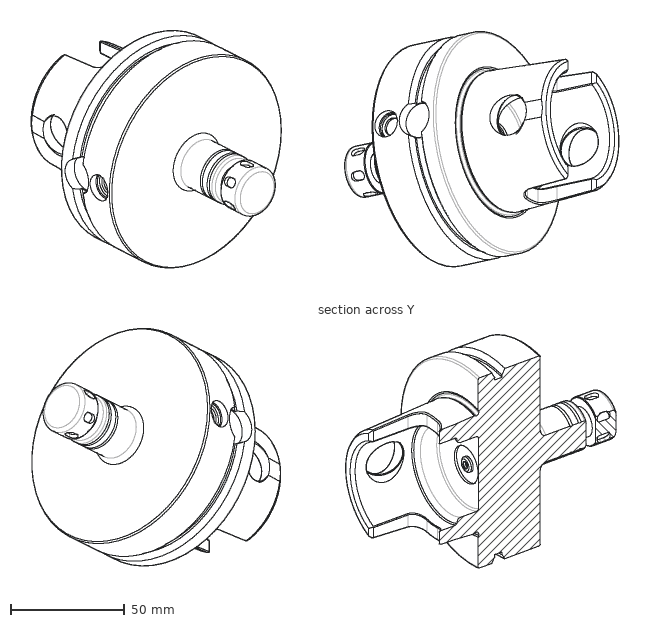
import cadquery as cq
import math


tolerance = 0.01
clearance = 1.2

taper_end_x = 42.7
taper_big_radius = 31.86
taper_slope = 0.05
end_chamfer_length = 1.9
end_chamfer_depth = end_chamfer_length * math.tan(math.radians(30))
relief_radius = 31.5
relief_run = 0.8

bore_radius = 24.1
bore_end_x = 32.6
lip_tip_x = 33.4
lip_round = 1.9
lip_start_radius = 23.6
lip_tip_radius = 23.2
floor_x = 45.0
floor_fillet = 0.8
centre_recess_radius = 9.0
centre_recess_depth = 1.2

nipple_base_radius = 7.3 / 2
nipple_tip_radius = 5.8 / 2
nipple_height = 1.8
nipple_tip_x = floor_x + centre_recess_depth - nipple_height
nipple_mouth_radius = 3.5 / 2
nipple_bore_radius = 3.0 / 2
nipple_bore_depth = 1.2
nipple_drill_radius = 1.7 / 2
nipple_drill_depth = 3.0

slot_end_x = 26.5
slot_half_width = 10.1
slot_corner_radius = 6.0
slot_outer_chamfer = 0.6
slot_inner_chamfer = 0.4
ball_hole_diameter = 18.5
ball_hole_x = 19.1
ball_seat_diameter = 19.7
ball_seat_tilt = 16.0
ball_seat_x = 19.2
ball_seat_y = 27.6
ball_seat_length = 10.8
flat_width = 8.3

flange_start_x = 44.9
flange_end_x = 78.8
flange_radius = 100.0 / 2
front_rim_round = 0.8
rear_rim_chamfer_length = 1.0
rear_rim_chamfer_depth = 0.6
face_recess_radius = 34.0
face_recess_run = 0.7
face_recess_depth = 0.3
root_fillet = 1.1
grip_groove_x = 55.9
grip_groove_mouth = 7.0
grip_groove_width = 3.7
grip_groove_radius = 46.1
grip_flank_depth = (grip_groove_mouth - grip_groove_width) / 2 / math.tan(math.radians(30))

pocket_diameter = 16.0
pocket_floor_y = 44.6
screw_hole_x = 70.9
screw_hole_diameter = 11.2
screw_mouth_diameter = 12.0
screw_hole_floor_y = 44.9
screw_seat_y = 46.5
screw_core_diameter = 8.0
screw_core_depth = 1.2

barrel_radius = 23.0 / 2
barrel_end_x = 103.8
barrel_end_round = 1.1
barrel_root_length = 2.8
barrel_root_rise = 2.0
barrel_root_radius = 2.8
ring_groove_width = 1.5
ring_groove_depth = 0.18
ring_groove_starts = [94.8, 99.5]

neck_radius = 14.0 / 2
nut_start_x = 108.5
nut_end_x = 120.0
nut_round = 1.7
nut_rear_chamfer = 0.4
key_slot_count = 6
key_slot_x = 113.2
key_slot_length = 6.7
key_slot_width = 4.2
key_slot_depth = 1.8


def taper_radius(x):
    return taper_big_radius - taper_slope * (taper_end_x - x)


def revolve_about_x(profile):
    """Turn a closed (X, radius) outline once around the X axis."""
    return profile.close().revolve(360, (0, 0, 0), (1, 0, 0))


def side_cylinder(x, diameter, start_y, end_y):
    """Cylinder along Y between two Y positions."""
    return (
        cq.Workplane("XZ", origin=(x, start_y, 0))
        .circle(diameter / 2)
        .extrude(start_y - end_y)
    )


def both_sides(tool):
    """A tool on the -Y side together with its half-turn copy on the +Y side."""
    return tool.union(tool.rotate((0, 0, 0), (1, 0, 0), 180))


def shank_cone():
    return revolve_about_x(
        cq.Workplane("XY")
        .moveTo(0, 0)
        .lineTo(0, taper_radius(0))
        .lineTo(taper_end_x, taper_big_radius)
        .lineTo(taper_end_x + relief_run, relief_radius)
        .lineTo(flange_start_x + face_recess_depth, relief_radius)
        .lineTo(flange_start_x + face_recess_depth, 0)
    )


def shank_bore():
    """Mouth chamfer, main bore, rounded lip, inner bore and floor recess."""
    inner_radius = lip_tip_radius - lip_round
    lip_start_x = lip_tip_x + lip_round - math.sqrt(lip_round**2 - (lip_start_radius - lip_tip_radius) ** 2)
    recess_x = floor_x + centre_recess_depth
    return revolve_about_x(
        cq.Workplane("XY")
        .moveTo(0, 0)
        .lineTo(0, bore_radius + end_chamfer_depth)
        .lineTo(end_chamfer_length, bore_radius)
        .lineTo(bore_end_x, bore_radius)
        .lineTo(lip_start_x, lip_start_radius)
        .threePointArc((lip_tip_x, lip_tip_radius), (lip_tip_x + lip_round, inner_radius))
        .lineTo(floor_x - floor_fillet, inner_radius)
        .radiusArc((floor_x, inner_radius - floor_fillet), floor_fillet)
        .lineTo(floor_x, centre_recess_radius)
        .lineTo(recess_x, centre_recess_radius)
        .lineTo(recess_x, 0)
    )


def nipple():
    """Stub with a coned tip, rooted in the floor of the centre recess."""
    cone_length = nipple_base_radius - nipple_tip_radius
    base_x = nipple_tip_x + nipple_height
    return revolve_about_x(
        cq.Workplane("XY")
        .moveTo(base_x, 0)
        .lineTo(base_x, nipple_base_radius)
        .lineTo(nipple_tip_x + cone_length, nipple_base_radius)
        .lineTo(nipple_tip_x, nipple_tip_radius)
        .lineTo(nipple_tip_x, 0)
    )


def nipple_hole():
    """Stepped blind hole with a chamfered mouth and a drill-point end."""
    mouth_chamfer = nipple_mouth_radius - nipple_bore_radius
    bore_bottom_x = nipple_tip_x + nipple_bore_depth
    drill_bottom_x = nipple_tip_x + nipple_drill_depth
    return revolve_about_x(
        cq.Workplane("XY")
        .moveTo(nipple_tip_x, 0)
        .lineTo(nipple_tip_x, nipple_mouth_radius)
        .lineTo(nipple_tip_x + mouth_chamfer, nipple_bore_radius)
        .lineTo(bore_bottom_x, nipple_bore_radius)
        .lineTo(bore_bottom_x, nipple_drill_radius)
        .lineTo(drill_bottom_x - nipple_drill_radius, nipple_drill_radius)
        .lineTo(drill_bottom_x, 0)
    )


def drive_slots(shank):
    """Cut the slot through both walls and chamfer its edges on the taper and in the bore."""
    bore = cq.Workplane("YZ").circle(bore_radius).extrude(bore_end_x)
    slot = (
        cq.Workplane("XY")
        .box(2 * slot_end_x, 2 * slot_half_width, 3 * taper_big_radius)
        .edges("|Z and >X")
        .fillet(slot_corner_radius)
    )
    shank = shank.cut(bore).cut(slot)
    outer_rims = []
    inner_rims = []
    for edge in shank.edges().vals():
        middle = edge.positionAt(0.5)
        radius = math.hypot(middle.y, middle.z)
        if not on_slot_wall(middle):
            continue
        if abs(radius - taper_radius(middle.x)) < tolerance:
            outer_rims.append(edge)
        elif abs(radius - bore_radius) < tolerance:
            inner_rims.append(edge)
    body = shank.val().chamfer(slot_outer_chamfer, None, outer_rims)
    body = body.chamfer(slot_inner_chamfer, None, inner_rims)
    return cq.Workplane(body)


def on_slot_wall(point):
    within_length = tolerance < point.x < slot_end_x + tolerance
    return within_length and abs(point.y) < slot_half_width + tolerance


def end_chamfers():
    """Tools for the outer rim of the shank end and for the mouths of the drive slots."""
    rim_x = end_chamfer_length
    rim_radius = taper_radius(rim_x)
    rim = revolve_about_x(
        cq.Workplane("XY")
        .moveTo(0, rim_radius - end_chamfer_depth)
        .lineTo(rim_x, rim_radius)
        .lineTo(rim_x, rim_radius + clearance)
        .lineTo(0, rim_radius + clearance)
    )
    mouth_half_width = slot_half_width + end_chamfer_depth
    mouth = (
        cq.Workplane("XY")
        .polyline([
            (0, mouth_half_width),
            (end_chamfer_length, slot_half_width),
            (end_chamfer_length, -slot_half_width),
            (0, -mouth_half_width),
        ])
        .close()
        .extrude(taper_big_radius, both=True)
    )
    return rim.union(mouth)


def side_flats():
    """Narrow flats that follow the taper from the shank end to the ball holes."""
    half_width = flat_width / 2
    start_y = -math.sqrt(taper_radius(0) ** 2 - half_width**2)
    end_y = -math.sqrt(taper_radius(ball_hole_x) ** 2 - half_width**2)
    flat = (
        cq.Workplane("XY")
        .polyline([
            (0, start_y),
            (ball_hole_x, end_y),
            (ball_hole_x, end_y - clearance),
            (0, start_y - clearance),
        ])
        .close()
        .extrude(half_width, both=True)
    )
    return both_sides(flat)


def ball_seats():
    """Flat-ended bores that widen the ball holes obliquely from inside, leaning to the open end."""
    tilt = math.radians(ball_seat_tilt)
    inward = cq.Vector(-math.sin(tilt), math.cos(tilt), 0)
    seat = cq.Solid.makeCylinder(
        ball_seat_diameter / 2,
        ball_seat_length,
        cq.Vector(ball_seat_x, -ball_seat_y, 0),
        inward,
    )
    return both_sides(cq.Workplane(seat))


def make_shank():
    shank = drive_slots(shank_cone())
    shank = shank.cut(end_chamfers()).cut(side_flats())
    shank = shank.cut(side_cylinder(ball_hole_x, ball_hole_diameter, taper_big_radius, -taper_big_radius))
    return shank.cut(ball_seats())


def make_flange():
    """Flange disc with its grip groove, face recess and the fillet at the shank root."""
    recess_floor_x = flange_start_x + face_recess_depth
    arc_offset = root_fillet * (1 - math.sqrt(0.5))
    mouth_half = grip_groove_mouth / 2
    floor_half = grip_groove_width / 2
    flank_radius = flange_radius - grip_flank_depth
    return revolve_about_x(
        cq.Workplane("XY")
        .moveTo(recess_floor_x - root_fillet, 0)
        .lineTo(recess_floor_x - root_fillet, relief_radius)
        .threePointArc(
            (recess_floor_x - arc_offset, relief_radius + arc_offset),
            (recess_floor_x, relief_radius + root_fillet),
        )
        .lineTo(recess_floor_x, face_recess_radius - face_recess_run)
        .lineTo(flange_start_x, face_recess_radius)
        .lineTo(flange_start_x, flange_radius - front_rim_round)
        .radiusArc((flange_start_x + front_rim_round, flange_radius), front_rim_round)
        .lineTo(grip_groove_x - mouth_half, flange_radius)
        .lineTo(grip_groove_x - floor_half, flank_radius)
        .lineTo(grip_groove_x - floor_half, grip_groove_radius)
        .lineTo(grip_groove_x + floor_half, grip_groove_radius)
        .lineTo(grip_groove_x + floor_half, flank_radius)
        .lineTo(grip_groove_x + mouth_half, flange_radius)
        .lineTo(flange_end_x - rear_rim_chamfer_length, flange_radius)
        .lineTo(flange_end_x, flange_radius - rear_rim_chamfer_depth)
        .lineTo(flange_end_x, 0)
    )


def flange_side_holes():
    """Flat pocket over the grip groove and stepped screw hole, on both sides."""
    outside_y = -flange_radius
    pocket = side_cylinder(grip_groove_x, pocket_diameter, -pocket_floor_y, outside_y)
    core_radius = screw_core_diameter / 2
    hole_radius = screw_hole_diameter / 2
    mouth_radius = screw_mouth_diameter / 2
    core_floor_y = -screw_hole_floor_y + screw_core_depth
    hole = (
        cq.Workplane("XY", origin=(screw_hole_x, 0, 0))
        .moveTo(0, core_floor_y)
        .lineTo(core_radius, core_floor_y)
        .lineTo(core_radius, -screw_hole_floor_y)
        .lineTo(hole_radius, -screw_hole_floor_y)
        .lineTo(hole_radius, -screw_seat_y + mouth_radius - hole_radius)
        .lineTo(mouth_radius, -screw_seat_y)
        .lineTo(mouth_radius, outside_y)
        .lineTo(0, outside_y)
        .close()
        .revolve(360, (0, 0, 0), (0, 1, 0))
    )
    return both_sides(pocket.union(hole))


def make_barrel():
    barrel = revolve_about_x(
        cq.Workplane("XY")
        .moveTo(flange_end_x, 0)
        .lineTo(flange_end_x, barrel_radius + barrel_root_rise)
        .radiusArc((flange_end_x + barrel_root_length, barrel_radius), -barrel_root_radius)
        .lineTo(barrel_end_x - barrel_end_round, barrel_radius)
        .radiusArc((barrel_end_x, barrel_radius - barrel_end_round), barrel_end_round)
        .lineTo(barrel_end_x, 0)
    )
    for start_x in ring_groove_starts:
        groove = revolve_about_x(
            cq.Workplane("XY")
            .moveTo(start_x, barrel_radius)
            .threePointArc(
                (start_x + ring_groove_width / 2, barrel_radius - ring_groove_depth),
                (start_x + ring_groove_width, barrel_radius),
            )
        )
        barrel = barrel.cut(groove)
    return barrel


def make_holder():
    holder = make_shank().union(make_flange()).union(make_barrel())
    return holder.cut(shank_bore()).union(nipple()).cut(nipple_hole()).cut(flange_side_holes())


def make_clamping_head():
    """Neck and nut, with key slots around the nut."""
    head = revolve_about_x(
        cq.Workplane("XY")
        .moveTo(barrel_end_x, 0)
        .lineTo(barrel_end_x, neck_radius)
        .lineTo(nut_start_x, neck_radius)
        .lineTo(nut_start_x, barrel_radius - nut_rear_chamfer)
        .lineTo(nut_start_x + nut_rear_chamfer, barrel_radius)
        .lineTo(nut_end_x - nut_round, barrel_radius)
        .radiusArc((nut_end_x, barrel_radius - nut_round), nut_round)
        .lineTo(nut_end_x, 0)
    )
    key_slot = (
        cq.Workplane("XY", origin=(key_slot_x, 0, barrel_radius - key_slot_depth))
        .slot2D(key_slot_length, key_slot_width)
        .extrude(2 * key_slot_depth)
    )
    for i in range(key_slot_count):
        head = head.cut(key_slot.rotate((0, 0, 0), (1, 0, 0), i * 360 / key_slot_count))
    return head


holder = make_holder()
clamping_head = make_clamping_head()
result = cq.Compound.makeCompound([holder.val(), clamping_head.val()])